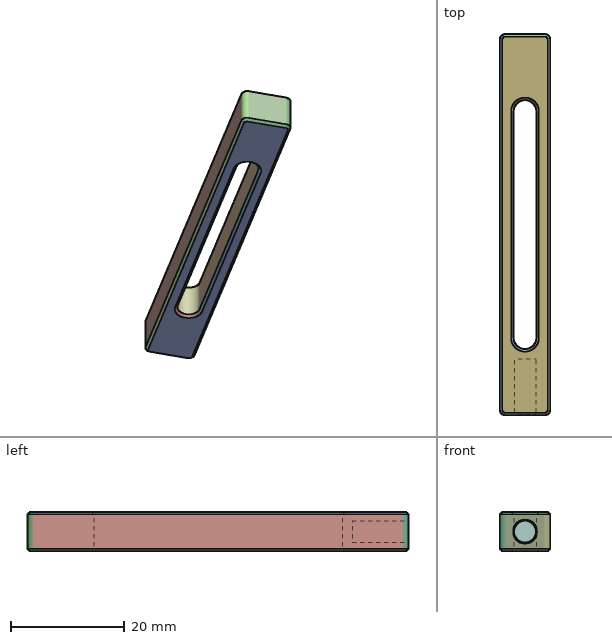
import cadquery as cq

length = 67.5
width = 9.0
height = 7.0
corner_radius = 1.0
chamfer = 0.5

slot_length = 44.0
slot_width = 4.0

hole_diameter = 3.85
hole_chamfer = 0.2
hole_depth = 10.0


def make_bar():
    """Bar with rounded upright corners and chamfered top and bottom rims."""
    bar = cq.Workplane("XY").box(width, length, height)
    bar = bar.edges("|Z").fillet(corner_radius)
    return bar.faces("<Z or >Z").edges().chamfer(chamfer)


def make_slot():
    """Round-ended slot along Y, flared at both mouths by the chamfer size."""
    slot = cq.Workplane("XY").slot2D(slot_length, slot_width, 90).extrude(height / 2, both=True)
    mouth_length = slot_length + 2 * chamfer
    mouth_width = slot_width + 2 * chamfer
    for direction in (1, -1):
        flare = (
            cq.Workplane("XY", origin=(0, 0, direction * height / 2))
            .slot2D(mouth_length, mouth_width, 90)
            .extrude(-direction * chamfer, taper=45)
        )
        slot = slot.union(flare)
    return slot


def make_end_hole():
    """Flat-bottomed hole running inward from the -Y end face, with a chamfered mouth."""
    end_face = cq.Workplane("XZ", origin=(0, -length / 2, 0))
    hole = end_face.circle(hole_diameter / 2).extrude(-hole_depth)
    mouth_radius = hole_diameter / 2 + hole_chamfer
    mouth = end_face.circle(mouth_radius).extrude(-hole_chamfer, taper=45)
    return hole.union(mouth)


result = make_bar().cut(make_slot()).cut(make_end_hole())